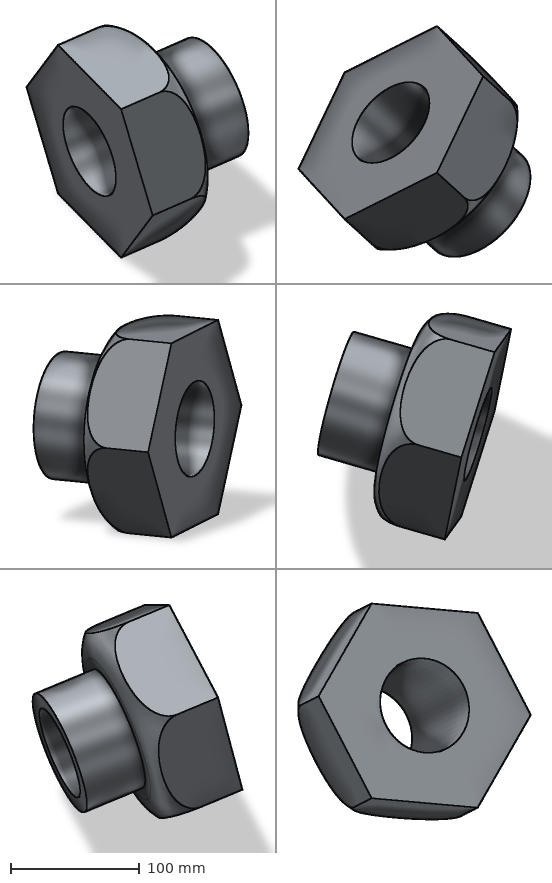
import cadquery as cq

ACROSS_CORNERS = 179.0
TOTAL_LENGTH = 115.0
SPIGOT_LENGTH = 50.0
SPIGOT_DIAMETER = 100.0
BORE_DIAMETER = 75.0
CROWN_RADIUS = 30.0

HEAD_LENGTH = TOTAL_LENGTH - SPIGOT_LENGTH


def along_y():
    """Sketch plane at the flat hexagon face, with its normal along +Y."""
    return cq.Workplane(cq.Plane(origin=(0, 0, 0), xDir=(1, 0, 0), normal=(0, 1, 0)))


def hexagon_head():
    """Hexagonal prism whose rear corners are rounded by a turned crown."""
    prism = along_y().polygon(6, ACROSS_CORNERS).extrude(HEAD_LENGTH)
    crown = (
        along_y()
        .circle(ACROSS_CORNERS / 2)
        .extrude(HEAD_LENGTH)
        .edges(">Y")
        .fillet(CROWN_RADIUS)
    )
    return prism.intersect(crown)


def spigot():
    """Plain round spigot behind the head, built through the head for a sound joint."""
    return along_y().circle(SPIGOT_DIAMETER / 2).extrude(TOTAL_LENGTH)


def bore():
    """Straight hole through the full length."""
    return along_y().circle(BORE_DIAMETER / 2).extrude(TOTAL_LENGTH)


result = hexagon_head().union(spigot()).cut(bore())